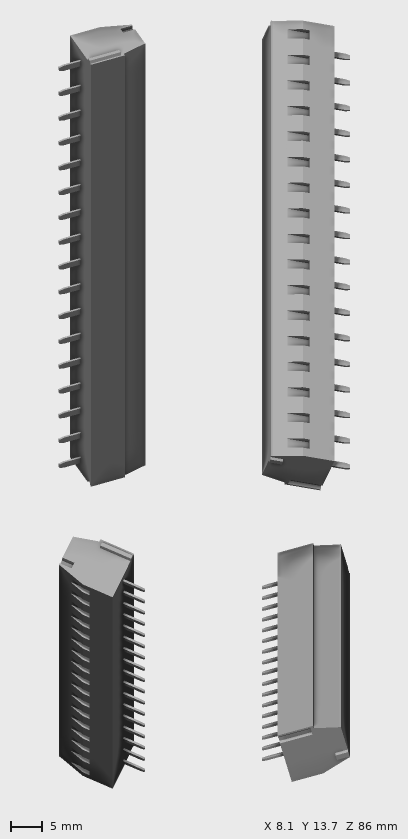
import cadquery as cq

overall_height = 86.0
pole_count = 17
pole_row_length = 80.0
pole_pitch = pole_row_length / (pole_count - 1)
top_distance = 2.6
bottom_distance = 2.5
body_height = pole_row_length + top_distance + bottom_distance

body_width = 8.1
body_depth = 10.0
back_half_width = 2.7
back_land = 0.3
side_break_y = 5.2
step_y = 5.85
step_x = 3.6

window_height = 1.8
window_front_y = 4.0
window_back_y = 7.5
window_floor_recess = 0.8

pin_length = 3.7
pin_width = 1.0
pin_tip_width = 0.7
pin_taper_length = 0.8
pin_thickness = 0.35

rail_height = 0.4
rail_left_x = 2.7
rail_right_x = 3.8
rail_slant = 0.3
rail_length = 5.3
tongue_height = overall_height - body_height - rail_height
tongue_left_x = -2.3
tongue_right_x = -1.3
tongue_slant = 0.3
tongue_length = 2.1
keyway_clearance = 0.1

half_width = body_width / 2
body_bottom = tongue_height
body_top = body_bottom + body_height
pole_heights = [
    body_bottom + bottom_distance + index * pole_pitch for index in range(pole_count)
]


def make_body():
    outline = [
        (-half_width, 0),
        (half_width, 0),
        (half_width, step_y),
        (step_x, step_y),
        (back_half_width, body_depth - back_land),
        (back_half_width, body_depth),
        (-back_half_width, body_depth),
        (-back_half_width, body_depth - back_land),
        (-half_width, side_break_y),
    ]
    return cq.Workplane("XY", origin=(0, 0, body_bottom)).polyline(outline).close().extrude(body_height)


def prism_along_y(profile, start_y, end_y):
    """Extrude an XZ profile from start_y to end_y."""
    plane = cq.Workplane("XZ", origin=(0, end_y, 0))
    return plane.polyline(profile).close().extrude(end_y - start_y)


def rail_prism(base_z, height):
    """Ridge with both flanks slanted, narrowing upward."""
    profile = [
        (rail_left_x, base_z),
        (rail_right_x, base_z),
        (rail_right_x - rail_slant, base_z + height),
        (rail_left_x + rail_slant, base_z + height),
    ]
    return prism_along_y(profile, 0, rail_length)


def tongue_prism(base_z, height):
    """Tongue with one upright and one slanted flank, narrowing downward."""
    profile = [
        (tongue_left_x, base_z),
        (tongue_right_x, base_z),
        (tongue_right_x - tongue_slant, base_z - height),
        (tongue_left_x, base_z - height),
    ]
    return prism_along_y(profile, body_depth - tongue_length, body_depth)


def make_window(center_z):
    """Rectangular cutter that reaches from beyond the -X side to the window floor."""
    floor_x = -half_width + window_floor_recess
    cutter_depth = 2 * window_floor_recess
    center_y = (window_front_y + window_back_y) / 2
    cutter = cq.Workplane("XY").box(cutter_depth, window_back_y - window_front_y, window_height)
    return cutter.translate((floor_x - cutter_depth / 2, center_y, center_z))


def make_pin(center_z):
    """Flat pin with a tapered tip; its root is flush with the pin face."""
    outline = [
        (0, -pin_width / 2),
        (pin_taper_length - pin_length, -pin_width / 2),
        (-pin_length, -pin_tip_width / 2),
        (-pin_length, pin_tip_width / 2),
        (pin_taper_length - pin_length, pin_width / 2),
        (0, pin_width / 2),
    ]
    plane = cq.Workplane("YZ", origin=(0, 0, center_z))
    return plane.polyline(outline).close().extrude(pin_thickness / 2, both=True)


result = make_body()
result = result.cut(rail_prism(body_bottom, rail_height + keyway_clearance))
result = result.cut(tongue_prism(body_top, tongue_height + keyway_clearance))
result = result.union(rail_prism(body_top, rail_height))
result = result.union(tongue_prism(body_bottom, tongue_height))
for pole_z in pole_heights:
    result = result.cut(make_window(pole_z))
    result = result.union(make_pin(pole_z))